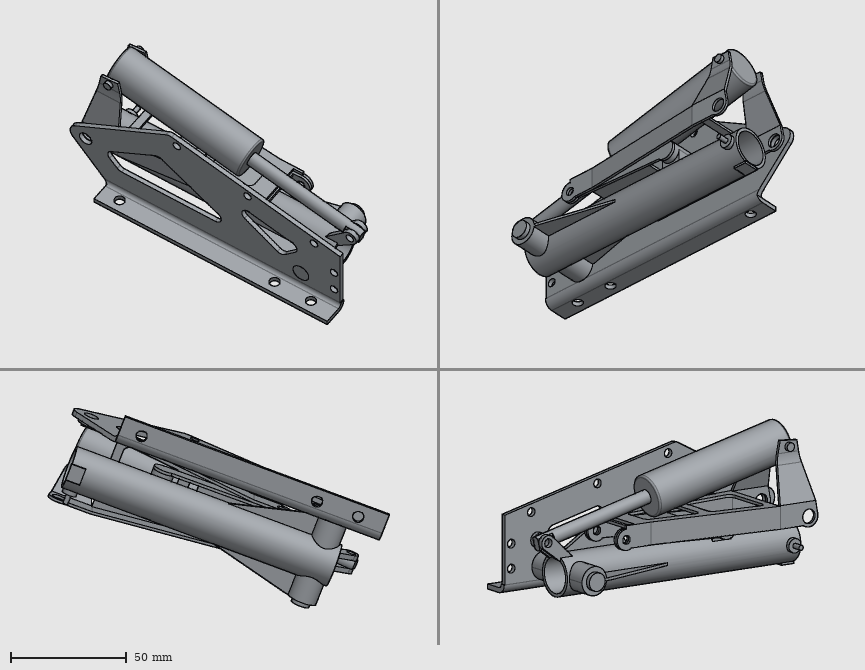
import cadquery as cq
import math

total_length = 142.0
small_hole_dia = 3.8
pivot_eye_dia = 9.5
sheet = 1.3
half_width = 19.0

plate_thickness = 2.3
bend_inner_radius = 1.8
flange_reach = 31.8
flange_start = 19.7
wall_end = 141.5
wall_corner = (-3.1, 26.3)
wall_apex = (51.7, 56.2)
wall_top_end = (wall_end, 35.0)
wall_apex_radius = 4.3
window_radius = 3.1
front_window = [(17.7, 22.7), (46.1, 38.5), (87.9, 14.8), (25.7, 14.8)]
rear_window = [(75.1, 37.2), (122.1, 26.1), (110.7, 15.2)]
wall_holes = [(56.0, 51.5), (93.0, 42.9), (127.8, 34.6), (138.3, 22.0), (138.3, 11.0)]
flange_hole_dia = 4.8
flange_hole_y = -26.3
flange_hole_x = [29.4, 110.6, 129.6]

tube_dia = 19.0
tube_bore = 16.0
tube_start = 6.0
tube_end = 128.5
tube_z = 10.2
hub_dia = 12.9
hub_x = 121.0
trunnion_dia = 8.2
gusset_tip_x = 76.0
gusset_end_x = 113.5
skid_start = 5.7
skid_length = 6.5
skid_width = 7.5
skid_bottom = 0.4
skid_height = 1.4
stud_x = 10.2
stud_dia = 2.3
stud_reach = 15.9
stud_collar_dia = 6.4
stud_collar_reach = 11.2
saddle_width = 14.2
bushing_length = 19.9
lug_pivot = (134.9, 26.1)
lug_dia = 6.8
lug_outer_y = 4.3
lug_front_x = 120.4
lug_root_z = 17.0

plate_pivot = (8.1, 24.4)
plate_pivot_dia = 6.4
link_front_pivot = (45.9, 22.3)
link_rear_pivot = (99.5, 24.5)
yoke_half_width = 18.7
yoke_bend_x = 23.1
yoke_top = 30.8
yoke_bottom = 20.6
yoke_web_end = 94.7
waist_x = 86.6
waist_half_width = 12.5
arm_top_front = (9.1, 57.0)
arm_top_rear = (17.9, 57.8)
arm_top_half_width = 11.1
arm_lean = 22.5
arm_knee_radius = 12.8
arm_knee_end_z = 52.1
yoke_opening_inset = 5.0
yoke_opening_radius = 2.8
yoke_openings = [(27.0, 54.0), (58.9, 85.9)]
link_half_width = 11.2
link_web_start = 17.0
link_web_end = 49.8
link_depth = 3.5

spring_pivot = (13.5, 54.7)
spring_tilt = 13.2
cylinder_dia = 19.2
cylinder_back = 2.8
cylinder_front = 68.7
cylinder_edge_radius = 0.9
cylinder_pin_reach = 12.8
rod_dia = 6.4
rod_flat_thickness = 3.8
rod_flat_length = 7.8
rod_length = 59.5

bend_outer_radius = bend_inner_radius + plate_thickness
wall_face_y = -half_width - plate_thickness
tube_radius = tube_dia / 2
tip_angle_above = math.atan2(wall_apex[1] - wall_corner[1], wall_apex[0] - wall_corner[0])
tip_angle_below = math.atan2(wall_corner[1] - plate_thickness, flange_start - wall_corner[0])
tip_half_angle = (tip_angle_above + tip_angle_below) / 2
tip_axis_angle = (tip_angle_above - tip_angle_below) / 2
wall_tip_radius = -wall_corner[0] / (math.cos(tip_axis_angle) / math.sin(tip_half_angle) - 1)
eye_radius = pivot_eye_dia / 2
link_dx = link_rear_pivot[0] - link_front_pivot[0]
link_dz = link_rear_pivot[1] - link_front_pivot[1]
link_length = math.hypot(link_dx, link_dz)
link_tilt = math.degrees(math.atan2(link_dz, link_dx))
taper = (yoke_half_width - waist_half_width) / (waist_x - yoke_bend_x)
rod_end = cylinder_front + rod_length
rod_shoulder = rod_end - rod_flat_length


def slab(points, y_start, y_end):
    """Prism of an X-Z outline between two Y positions."""
    return cq.Workplane("XZ", origin=(0, y_start, 0)).polyline(points).close().extrude(y_start - y_end)


def cross_bar(center, diameter, y_start, y_end):
    """Cylinder along Y through an (X, Z) point."""
    return (
        cq.Workplane("XZ", origin=(0, y_start, 0))
        .center(*center)
        .circle(diameter / 2)
        .extrude(y_start - y_end)
    )


def flat(points, z_start, z_end):
    """Prism of an X-Y outline between two heights."""
    return cq.Workplane("XY", origin=(0, 0, z_start)).polyline(points).close().extrude(z_end - z_start)


def box(x_range, y_range, z_range):
    """Box between two limits along each axis."""
    sizes = [high - low for low, high in (x_range, y_range, z_range)]
    corner = (x_range[0], y_range[0], z_range[0])
    return cq.Workplane("XY").box(*sizes, centered=False).translate(corner)


def mirrored_pair(shape):
    """A shape together with its mirror image across the symmetry plane."""
    return shape.union(shape.mirror("XZ"))


def set_on_spring_axis(shape):
    """Move a shape from the X axis, with the cylinder pivot at the origin, to its tilted place."""
    tilted = shape.rotate((0, 0, 0), (0, 1, 0), spring_tilt)
    return tilted.translate((spring_pivot[0], 0, spring_pivot[1]))


def bar_along_x(diameter, x_start, x_end):
    """Round bar on the X axis."""
    return cq.Workplane("YZ", origin=(x_start, 0, 0)).circle(diameter / 2).extrude(x_end - x_start)


def bent_sheet():
    """Wall, bend and flange section, run over the whole length."""
    wall_top = wall_apex[1]
    bend_turn = math.sqrt(0.5)
    outer_center = (-half_width - bend_outer_radius, bend_outer_radius)
    outer_mid = (
        outer_center[0] + bend_outer_radius * bend_turn,
        outer_center[1] - bend_outer_radius * bend_turn,
    )
    inner_mid = (
        outer_center[0] + bend_inner_radius * bend_turn,
        outer_center[1] - bend_inner_radius * bend_turn,
    )
    return (
        cq.Workplane("YZ")
        .moveTo(-half_width, wall_top)
        .lineTo(-half_width, bend_outer_radius)
        .threePointArc(outer_mid, (outer_center[0], 0))
        .lineTo(-flange_reach, 0)
        .lineTo(-flange_reach, plate_thickness)
        .lineTo(outer_center[0], plate_thickness)
        .threePointArc(inner_mid, (wall_face_y, bend_outer_radius))
        .lineTo(wall_face_y, wall_top)
        .close()
        .extrude(total_length)
    )


def side_outline():
    """Side shape of the plate, as a prism across the whole sheet."""
    points = [
        wall_corner,
        wall_apex,
        wall_top_end,
        (wall_end, bend_outer_radius),
        (total_length, bend_outer_radius),
        (total_length, 0),
        (flange_start, 0),
        (flange_start, plate_thickness),
    ]
    outline = slab(points, -half_width, -flange_reach)
    for (x, z), radius in ((wall_corner, wall_tip_radius), (wall_apex, wall_apex_radius)):
        corner_edge = cq.selectors.NearestToPointSelector((x, -(half_width + flange_reach) / 2, z))
        outline = outline.edges("|Y").edges(corner_edge).fillet(radius)
    return outline


def make_plate():
    """Bent mounting plate with its two windows and all its holes."""
    plate = bent_sheet().intersect(side_outline())
    for window in (front_window, rear_window):
        plate = plate.cut(slab(window, -half_width, wall_face_y).edges("|Y").fillet(window_radius))
    holes = [(center, small_hole_dia) for center in wall_holes]
    holes.append((plate_pivot, plate_pivot_dia))
    holes.append(((hub_x, tube_z), trunnion_dia))
    for center, diameter in holes:
        plate = plate.cut(cross_bar(center, diameter, -half_width, wall_face_y))
    flange_holes = (
        cq.Workplane("XY")
        .pushPoints([(x, flange_hole_y) for x in flange_hole_x])
        .circle(flange_hole_dia / 2)
        .extrude(plate_thickness)
    )
    return plate.cut(flange_holes)


def lug():
    """Ear for the rod end: a round eye on a foot in the tube, relieved for the full rod."""
    inner_y = rod_flat_thickness / 2
    lug_radius = lug_dia / 2
    lean = math.sqrt(0.5) * lug_radius
    foot = [
        (lug_front_x, lug_root_z),
        (lug_pivot[0] - lean, lug_pivot[1] + lean),
        (lug_pivot[0] + lean, lug_pivot[1] - lean),
        (tube_end, lug_root_z),
    ]
    ear = slab(foot, lug_outer_y, inner_y)
    ear = ear.union(cross_bar(lug_pivot, lug_dia, lug_outer_y, inner_y))
    ear = ear.cut(set_on_spring_axis(bar_along_x(rod_dia, cylinder_front, rod_shoulder)))
    return ear.cut(cross_bar(lug_pivot, small_hole_dia, lug_outer_y, inner_y))


def gusset():
    """Flat web in the corner between the tube and the hub."""
    inside_tube = tube_bore / 2
    points = [
        (gusset_tip_x, inside_tube),
        (gusset_tip_x, tube_radius),
        (gusset_end_x, half_width),
        (hub_x, half_width),
        (hub_x, inside_tube),
    ]
    return flat(points, tube_z - sheet / 2, tube_z + sheet / 2)


def make_tube():
    """Main tube with its hub, trunnions, link bushing, lugs and small fittings, bored through."""
    tube = bar_along_x(tube_dia, tube_start, tube_end).translate((0, 0, tube_z))
    hub = cross_bar((hub_x, tube_z), hub_dia, -half_width, half_width)
    trunnion = cross_bar((hub_x, tube_z), trunnion_dia, wall_face_y, -wall_face_y)
    saddle = box(
        (link_front_pivot[0] - eye_radius, link_front_pivot[0] + eye_radius),
        (-saddle_width / 2, saddle_width / 2),
        (tube_z, link_front_pivot[1]),
    )
    bushing = cross_bar(link_front_pivot, pivot_eye_dia, -bushing_length / 2, bushing_length / 2)
    skid = box(
        (skid_start, skid_start + skid_length),
        (-skid_width / 2, skid_width / 2),
        (skid_bottom, skid_bottom + skid_height),
    )
    stud = cross_bar((stud_x, tube_z), stud_dia, 0, stud_reach)
    collar = cross_bar((stud_x, tube_z), stud_collar_dia, 0, stud_collar_reach)
    gussets = mirrored_pair(gusset())
    lugs = mirrored_pair(lug())
    for part in (hub, trunnion, saddle, bushing, skid, stud, collar, gussets, lugs):
        tube = tube.union(part)
    bore = bar_along_x(tube_bore, 0, total_length).translate((0, 0, tube_z))
    return tube.cut(bore)


def half_width_at(x):
    """Half width of the tapered channel at a given X."""
    return yoke_half_width - taper * (x - yoke_bend_x)


def channel_plan(inset):
    """Plan outline of the channel, moved inward by an inset."""
    half = [
        (yoke_bend_x, yoke_half_width - inset),
        (waist_x, waist_half_width - inset),
        (link_rear_pivot[0], waist_half_width - inset),
    ]
    return half + [(x, -y) for x, y in reversed(half)]


def yoke_opening(x_start, x_end):
    """Tapered opening through the web of the channel."""
    half = [(x, half_width_at(x) - yoke_opening_inset) for x in (x_start, x_end)]
    points = half + [(x, -y) for x, y in reversed(half)]
    return flat(points, yoke_top - sheet, yoke_top).edges("|Z").fillet(yoke_opening_radius)


def channel():
    """Tapered U channel: a web on top and a wall down each side."""
    inner = channel_plan(sheet)
    body = flat(channel_plan(0), yoke_bottom, yoke_top).cut(flat(inner, yoke_bottom, yoke_top - sheet))
    behind_web = box(
        (yoke_web_end, total_length),
        (sheet - waist_half_width, waist_half_width - sheet),
        (yoke_bottom, yoke_top),
    )
    body = body.cut(behind_web)
    for x_start, x_end in yoke_openings:
        body = body.cut(yoke_opening(x_start, x_end))
    return body


def arm_section():
    """Bent strip that leans in from the plate pivot to the cylinder pin, run along X."""
    foot_z = plate_pivot[1] - eye_radius
    lean = math.radians(arm_lean)
    knee_center_y = arm_top_half_width + arm_knee_radius

    def knee_point(radius, angle):
        return (knee_center_y - radius * math.cos(angle), arm_knee_end_z - radius * math.sin(angle))

    inner_radius = arm_knee_radius + sheet
    knee_y, knee_z = knee_point(arm_knee_radius, lean)
    bend_z = knee_z - (yoke_half_width - knee_y) / math.tan(lean)
    inner_bend_z = bend_z - sheet * math.tan(lean / 2)
    return (
        cq.Workplane("YZ")
        .moveTo(yoke_half_width, foot_z)
        .lineTo(yoke_half_width, bend_z)
        .lineTo(knee_y, knee_z)
        .threePointArc(knee_point(arm_knee_radius, lean / 2), knee_point(arm_knee_radius, 0))
        .lineTo(arm_top_half_width, arm_top_rear[1])
        .lineTo(arm_top_half_width - sheet, arm_top_rear[1])
        .lineTo(*knee_point(inner_radius, 0))
        .threePointArc(knee_point(inner_radius, lean / 2), knee_point(inner_radius, lean))
        .lineTo(yoke_half_width - sheet, inner_bend_z)
        .lineTo(yoke_half_width - sheet, foot_z)
        .close()
        .extrude(yoke_bend_x)
    )


def arm():
    """One yoke arm: the bent strip trimmed to its tapered side shape and drilled."""
    outline = [
        (plate_pivot[0] - eye_radius, plate_pivot[1]),
        arm_top_front,
        arm_top_rear,
        (yoke_bend_x, yoke_top),
        (yoke_bend_x, yoke_bottom),
        (plate_pivot[0], yoke_bottom),
    ]
    side_shape = slab(outline, half_width, 0)
    side_shape = side_shape.union(cross_bar(plate_pivot, pivot_eye_dia, half_width, 0))
    strip = arm_section().intersect(side_shape)
    strip = strip.cut(cross_bar(plate_pivot, plate_pivot_dia, half_width, 0))
    return strip.cut(cross_bar(spring_pivot, small_hole_dia, half_width, 0))


def make_yoke():
    """Channel with a pair of arms at the front and a pair of pivot ears at the rear."""
    rear_ear = cross_bar(link_rear_pivot, pivot_eye_dia, waist_half_width, waist_half_width - sheet)
    yoke = channel().union(mirrored_pair(rear_ear)).union(mirrored_pair(arm()))
    return yoke.cut(cross_bar(link_rear_pivot, small_hole_dia, -half_width, half_width))


def make_link():
    """Link under the yoke, modelled along +X from its front pivot and then set in place."""
    inner_half_width = link_half_width - sheet
    side_bar = box((0, link_length), (inner_half_width, link_half_width), (-link_depth, eye_radius))
    for x in (0, link_length):
        side_bar = side_bar.union(cross_bar((x, 0), pivot_eye_dia, inner_half_width, link_half_width))
    web = box(
        (link_web_start, link_web_end),
        (-link_half_width, link_half_width),
        (eye_radius - sheet, eye_radius),
    )
    link = mirrored_pair(side_bar).union(web)
    link = link.cut(cross_bar((link_length, 0), small_hole_dia, -link_half_width, link_half_width))
    link = link.rotate((0, 0, 0), (0, 1, 0), -link_tilt)
    return link.translate((link_front_pivot[0], 0, link_front_pivot[1]))


def make_cylinder():
    """Round-edged cylinder with a pivot pin standing out on both sides."""
    body = bar_along_x(cylinder_dia, -cylinder_back, cylinder_front).edges().fillet(cylinder_edge_radius)
    pin = cross_bar((0, 0), small_hole_dia, -cylinder_pin_reach, cylinder_pin_reach)
    return set_on_spring_axis(body.union(pin))


def make_rod():
    """Rod that starts at the cylinder face, flattened on both sides at its far end."""
    flat_half = rod_flat_thickness / 2
    rod = bar_along_x(rod_dia, cylinder_front, rod_end)
    side_cut = box((rod_shoulder, rod_end), (flat_half, rod_dia), (-rod_dia, rod_dia))
    rod = set_on_spring_axis(rod.cut(mirrored_pair(side_cut)))
    return rod.cut(cross_bar(lug_pivot, small_hole_dia, -flat_half, flat_half))


plate = make_plate().solids().val()
tube = make_tube().solids().val()
yoke = make_yoke().solids().val()
link = make_link().solids().val()
cylinder = make_cylinder().solids().val()
rod = make_rod().solids().val()

result = cq.Compound.makeCompound([plate, tube, yoke, link, cylinder, rod])